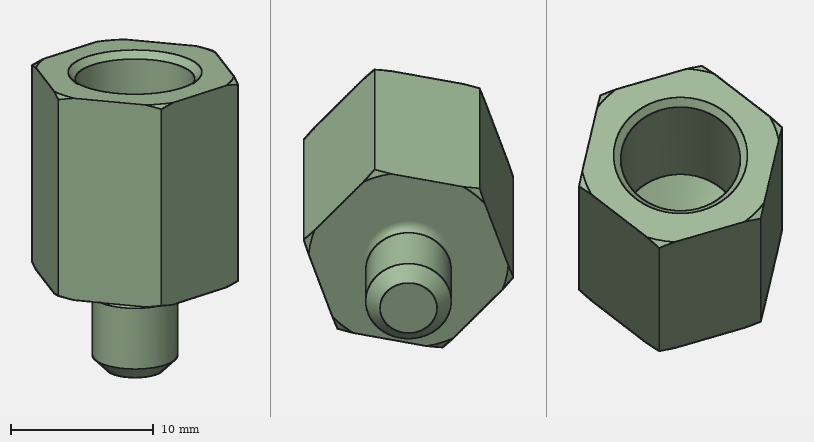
import cadquery as cq
import math

across_flats = 13.0
across_corners = across_flats / math.cos(math.radians(30))
body_height = 15.0
corner_circle_diameter = 14.0
corner_chamfer_angle = 22.5
cone_overrun = 2.0

bore_diameter = 8.38
bore_mouth_diameter = 9.38
bore_depth = 10.0
drill_point_angle = 118.0

stud_diameter = 6.0
stud_length = 7.0
stud_tip_chamfer = 1.0
neck_diameter = 4.7
neck_length = 1.5


def make_body():
    """Hexagonal prism with its corners turned off conically at both ends."""
    prism = cq.Workplane("XY").polygon(6, across_corners).extrude(body_height)
    end_radius = corner_circle_diameter / 2
    corner_radius = across_corners / 2
    corner_drop = (corner_radius - end_radius) * math.tan(math.radians(corner_chamfer_angle))
    outer_radius = end_radius + cone_overrun * (corner_radius - end_radius)
    outer_drop = cone_overrun * corner_drop
    envelope = (
        cq.Workplane("XZ")
        .moveTo(0, 0)
        .lineTo(end_radius, 0)
        .lineTo(outer_radius, outer_drop)
        .lineTo(outer_radius, body_height - outer_drop)
        .lineTo(end_radius, body_height)
        .lineTo(0, body_height)
        .close()
        .revolve(360, (0, 0, 0), (0, 1, 0))
    )
    return prism.intersect(envelope)


def make_bore():
    """Drilled hole with a countersunk mouth and a conical bottom."""
    bore_radius = bore_diameter / 2
    mouth_radius = bore_mouth_diameter / 2
    mouth_depth = mouth_radius - bore_radius
    floor_z = body_height - bore_depth
    point_depth = bore_radius / math.tan(math.radians(drill_point_angle / 2))
    return (
        cq.Workplane("XZ")
        .moveTo(0, floor_z - point_depth)
        .lineTo(bore_radius, floor_z)
        .lineTo(bore_radius, body_height - mouth_depth)
        .lineTo(mouth_radius, body_height)
        .lineTo(0, body_height)
        .close()
        .revolve(360, (0, 0, 0), (0, 1, 0))
    )


def make_stud():
    """Stud with a chamfered tip and a round-bottomed neck next to the body."""
    stud_radius = stud_diameter / 2
    neck_radius = neck_diameter / 2
    groove_radius = neck_length / 2
    tip_radius = stud_radius - stud_tip_chamfer
    root_radius = neck_radius + groove_radius
    lower_arc_drop = math.sqrt(groove_radius**2 - (root_radius - stud_radius) ** 2)
    groove_end_z = -groove_radius - lower_arc_drop
    return (
        cq.Workplane("XZ")
        .moveTo(0, 0)
        .lineTo(root_radius, 0)
        .radiusArc((neck_radius, -groove_radius), -groove_radius)
        .radiusArc((stud_radius, groove_end_z), -groove_radius)
        .lineTo(stud_radius, stud_tip_chamfer - stud_length)
        .lineTo(tip_radius, -stud_length)
        .lineTo(0, -stud_length)
        .close()
        .revolve(360, (0, 0, 0), (0, 1, 0), clean=False)
    )


result = make_body().cut(make_bore()).union(make_stud(), clean=False)